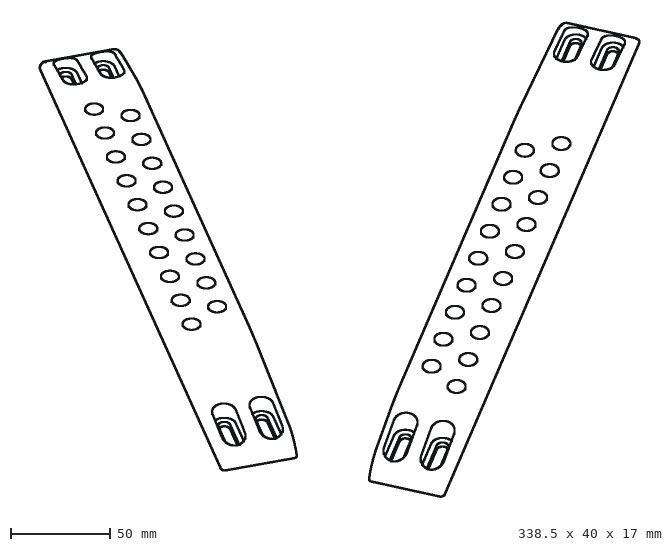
import cadquery as cq
import math

length = 338.5
width = 40.0
height = 17.0
edge_round = 2.0

deck_left = 51.5
deck_right = 250.5
left_bend_drop = 0.95
right_bend_drop = 0.5
left_bend = (41.0, height - left_bend_drop)
right_bend = (260.5, height - right_bend_drop)
left_shoulder = (14.5, 11.2)
right_shoulder = (322.5, 10.0)
left_blend = 2.0
right_blend = 0.9

hole_diameter = 9.0
hole_pitch = 20.0
row_offset = 8.0
front_row_count = 10
back_row_count = front_row_count - 1
deck_middle = (deck_left + deck_right) / 2

slot_inset = 23.0
slot_spacing = 19.5
slot_length = 22.7
slot_width = 6.0
pocket_length = 29.0
pocket_width = 12.2
pocket_floor = 3.0


def nose_midpoint(shoulder, bend, tip):
    """Middle of the arc that leaves the shoulder in line with the slope and ends at the tip."""
    slope_angle = math.atan2(shoulder[1] - bend[1], shoulder[0] - bend[0])
    chord_x = tip[0] - shoulder[0]
    chord_z = tip[1] - shoulder[1]
    turn = math.remainder(math.atan2(chord_z, chord_x) - slope_angle, math.tau)
    bulge = math.tan(turn / 2) / 2
    return (
        shoulder[0] + chord_x / 2 + bulge * chord_z,
        shoulder[1] + chord_z / 2 - bulge * chord_x,
    )


def point_toward(start, target, distance):
    """Point at the given distance from start on the line to target."""
    share = distance / math.dist(start, target)
    return tuple(a + share * (b - a) for a, b in zip(start, target))


def make_bar():
    left_tip = (0, 0)
    right_tip = (length, 0)
    slope_points = [
        left_shoulder,
        left_bend,
        (deck_left, height),
        (deck_right, height),
        right_bend,
        right_shoulder,
    ]
    blends = [left_blend, left_blend, right_blend, right_blend]

    profile = (
        cq.Workplane("XZ")
        .moveTo(*left_tip)
        .threePointArc(nose_midpoint(left_shoulder, left_bend, left_tip), left_shoulder)
    )
    for before, bend, after, blend in zip(slope_points, slope_points[1:], slope_points[2:], blends):
        arc_start = point_toward(bend, before, blend)
        arc_end = point_toward(bend, after, blend)
        profile = profile.lineTo(*arc_start).tangentArcPoint(arc_end, relative=False)
    bar = (
        profile.lineTo(*right_shoulder)
        .threePointArc(nose_midpoint(right_shoulder, right_bend, right_tip), right_tip)
        .close()
        .extrude(width / 2, both=True)
    )
    return bar.faces("<Y or >Y").edges("not <Z").fillet(edge_round)


def make_hole_row(count, y):
    return (
        cq.Workplane("XY")
        .center(deck_middle, y)
        .rarray(hole_pitch, 3.5, count, 1)
        .circle(hole_diameter / 2)
        .extrude(height)
    )


def make_slots(slot_size, slot_end_width, floor):
    return (
        cq.Workplane("XY", origin=(length / 2, 0, floor))
        .rarray(length - 2 * slot_inset, slot_spacing, 2, 2)
        .slot2D(slot_size, slot_end_width)
        .extrude(height - floor)
    )


result = (
    make_bar()
    .cut(make_hole_row(front_row_count, -row_offset))
    .cut(make_hole_row(back_row_count, row_offset))
    .cut(make_slots(slot_length, slot_width, 0))
    .cut(make_slots(pocket_length, pocket_width, pocket_floor))
)